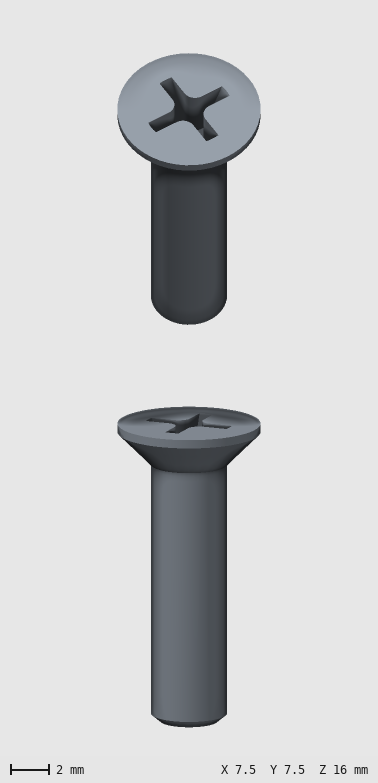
import cadquery as cq

length = 16.0
shank_radius = 2.0
head_radius = 3.752
rim_height = 0.45
cone_height = head_radius - shank_radius
tip_height = 0.4
tip_inset = 0.48

recess_depth = 2.72
recess_top_radius = 2.32
recess_floor_radius = 1.2
slot_width = 0.75
slot_corner_radius = 0.64


def screw_blank():
    """Revolved countersunk head, plain shank and chamfered tip."""
    rim_bottom = length - rim_height
    return (
        cq.Workplane("XZ")
        .lineTo(shank_radius - tip_inset, 0)
        .lineTo(shank_radius, tip_height)
        .lineTo(shank_radius, rim_bottom - cone_height)
        .lineTo(head_radius, rim_bottom)
        .lineTo(head_radius, length)
        .lineTo(0, length)
        .close()
        .revolve(360, (0, 0), (0, 1))
    )


def cross_recess():
    """Straight-walled cross whose arm ends taper along a cone."""
    floor = cq.Workplane("XY").workplane(offset=length - recess_depth)
    arm_length = 2 * recess_top_radius + slot_width
    cross = floor.rect(arm_length, slot_width).extrude(recess_depth)
    cross = cross.union(floor.rect(slot_width, arm_length).extrude(recess_depth))

    reach = slot_width
    inner_corners = cq.selectors.BoxSelector(
        (-reach, -reach, 0), (reach, reach, length)
    )
    cross = cross.edges("|Z").edges(inner_corners).fillet(slot_corner_radius)

    taper = (
        floor.circle(recess_floor_radius)
        .workplane(offset=recess_depth)
        .circle(recess_top_radius)
        .loft(ruled=True)
    )
    return cross.intersect(taper)


result = screw_blank().cut(cross_recess())